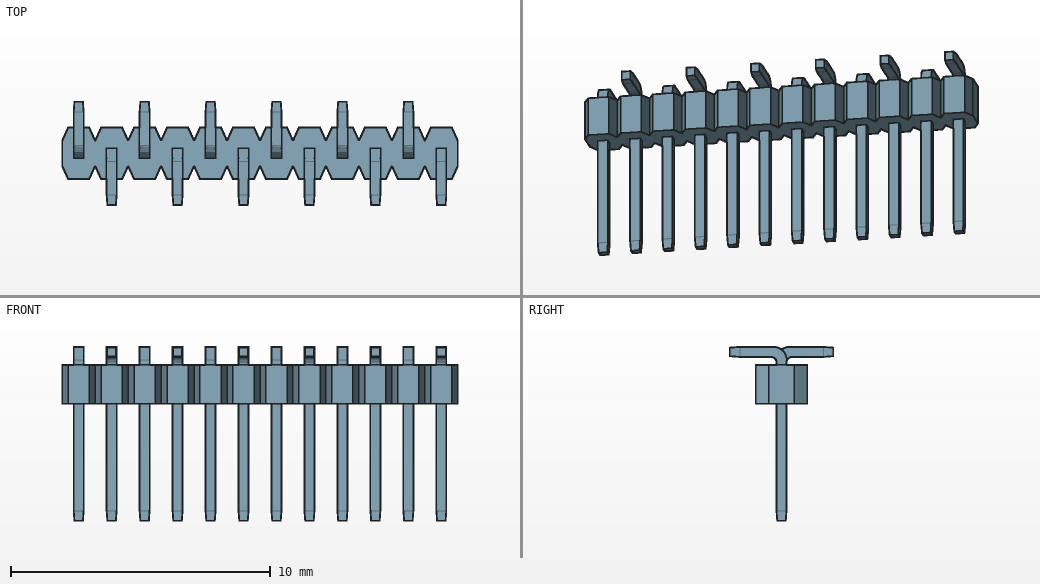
import cadquery as cq

pin_count = 12
overall_length = 15.24
pitch = overall_length / pin_count
overall_width = 4.0

housing_width = 2.0
housing_height = 1.5
notch_depth = 0.5
notch_half_width = 0.23

pin_size = 0.4
pin_below = 4.51
pin_above = 0.7
tip_length = 0.4
tip_size = 0.34
inner_bend_radius = 0.2
outer_bend_radius = 0.5

half_pin = pin_size / 2
pin_top = housing_height + pin_above
arm_reach = overall_width / 2


def make_segment(x_center):
    """One octagonal housing cell; neighbouring cells leave V-notches between them."""
    half_length = pitch / 2
    half_width = housing_width / 2
    flat_x = half_length - notch_half_width
    flat_y = half_width - notch_depth
    outline = [
        (-half_length, -flat_y),
        (-flat_x, -half_width),
        (flat_x, -half_width),
        (half_length, -flat_y),
        (half_length, flat_y),
        (flat_x, half_width),
        (-flat_x, half_width),
        (-half_length, flat_y),
    ]
    cell = cq.Workplane("XY").polyline(outline).close().extrude(housing_height)
    return cell.translate((x_center, 0, 0))


def make_tip(plane):
    """Tapered pin end that starts at the plane and narrows along its normal."""
    return (
        cq.Workplane(plane)
        .rect(pin_size, pin_size)
        .workplane(offset=tip_length)
        .rect(tip_size, tip_size)
        .loft(ruled=True)
    )


def make_pin():
    """Straight leg below the housing, bent at the top into an arm toward +Y."""
    leg_end = tip_length - pin_below
    arm_end = arm_reach - tip_length
    arm_bottom = pin_top - pin_size
    bar = (
        cq.Workplane("YZ")
        .moveTo(-half_pin, leg_end)
        .lineTo(-half_pin, pin_top - outer_bend_radius)
        .radiusArc((outer_bend_radius - half_pin, pin_top), outer_bend_radius)
        .lineTo(arm_end, pin_top)
        .lineTo(arm_end, arm_bottom)
        .lineTo(half_pin + inner_bend_radius, arm_bottom)
        .radiusArc((half_pin, arm_bottom - inner_bend_radius), -inner_bend_radius)
        .lineTo(half_pin, leg_end)
        .close()
        .extrude(half_pin, both=True)
    )
    leg_plane = cq.Plane(origin=(0, 0, leg_end), xDir=(1, 0, 0), normal=(0, 0, -1))
    arm_plane = cq.Plane(origin=(0, arm_end, pin_top - half_pin), xDir=(1, 0, 0), normal=(0, 1, 0))
    return bar.union(make_tip(leg_plane)).union(make_tip(arm_plane))


pin_centers = [(index + 0.5) * pitch - overall_length / 2 for index in range(pin_count)]

result = make_segment(pin_centers[0])
for x_center in pin_centers[1:]:
    result = result.union(make_segment(x_center))
result = result.clean()

back_pin = make_pin()
front_pin = back_pin.rotate((0, 0, 0), (0, 0, 1), 180)
for index, x_center in enumerate(pin_centers):
    pin = back_pin if index % 2 == 0 else front_pin
    result = result.union(pin.translate((x_center, 0, 0)))